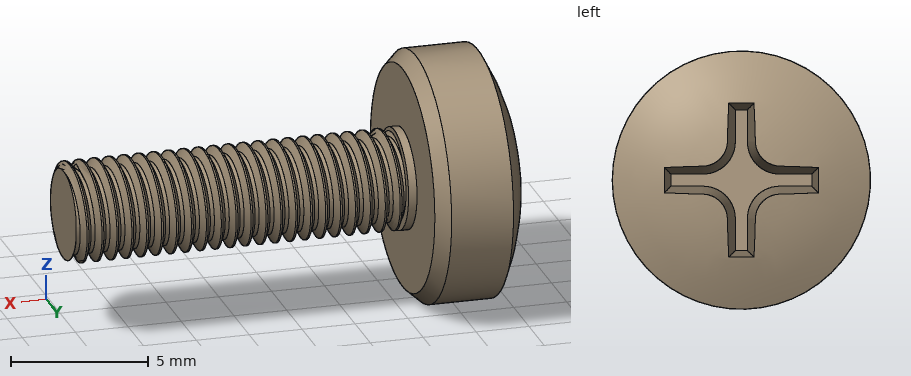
import cadquery as cq
import math

LENGTH = 16.82

HEAD_RADIUS = 4.7
DOME_APEX_X = -0.07
DOME_RIM_X = 1.2
HEAD_CHAMFER_START_X = 3.53
BEARING_FACE_X = 4.04
HEAD_CHAMFER_RADIAL = 0.45

NECK_RADIUS = 1.9
NECK_END_X = 4.35

TWENTY_TURNS_LENGTH = 11.27
PITCH = TWENTY_TURNS_LENGTH / 20
CREST_RADIUS = 1.88
ROOT_RADIUS = 1.56
CREST_FLAT = 0.07
ROOT_FLAT = 0.15
RIDGE_OVERLAP = 0.05
RUNOUT_X = LENGTH + 3 * PITCH
FIRST_CREST_X = 3.94

RECESS_FLOOR_X = 1.88
RECESS_FLOOR_HALF_LENGTH = 2.55
RECESS_FLOOR_HALF_WIDTH = 0.22
RECESS_FLOOR_FILLET = 1.18
RECESS_DRAFT = 9.0
RECESS_CLEARANCE = 0.17


def make_blank():
    """Head, neck and thread core as one revolved body, with the core left overlong."""
    dome_height = DOME_RIM_X - DOME_APEX_X
    dome_radius = (HEAD_RADIUS**2 + dome_height**2) / (2 * dome_height)
    mid_radius = HEAD_RADIUS / 2
    mid_x = DOME_APEX_X + dome_radius - math.sqrt(dome_radius**2 - mid_radius**2)
    return (
        cq.Workplane("XY")
        .moveTo(DOME_APEX_X, 0)
        .threePointArc((mid_x, mid_radius), (DOME_RIM_X, HEAD_RADIUS))
        .lineTo(HEAD_CHAMFER_START_X, HEAD_RADIUS)
        .lineTo(BEARING_FACE_X, HEAD_RADIUS - HEAD_CHAMFER_RADIAL)
        .lineTo(BEARING_FACE_X, NECK_RADIUS)
        .lineTo(NECK_END_X, NECK_RADIUS)
        .lineTo(NECK_END_X, ROOT_RADIUS)
        .lineTo(RUNOUT_X, ROOT_RADIUS)
        .lineTo(RUNOUT_X, 0)
        .close()
        .revolve(360, (0, 0, 0), (1, 0, 0))
    )


def make_thread_ridge():
    """Helical ridge, running past the flat end of the screw."""
    half_crest = CREST_FLAT / 2
    half_root = (PITCH - ROOT_FLAT) / 2
    flank_slope = (half_root - half_crest) / (CREST_RADIUS - ROOT_RADIUS)
    half_base = half_root + flank_slope * RIDGE_OVERLAP
    base_radius = ROOT_RADIUS - RIDGE_OVERLAP
    helix_length = LENGTH + PITCH - FIRST_CREST_X

    helix = cq.Wire.makeHelix(PITCH, helix_length, ROOT_RADIUS)
    return (
        cq.Workplane("XZ")
        .polyline([
            (base_radius, -half_base),
            (CREST_RADIUS, -half_crest),
            (CREST_RADIUS, half_crest),
            (base_radius, half_base),
        ])
        .close()
        .sweep(cq.Workplane(obj=helix), isFrenet=True)
        .rotate((0, 0, 0), (0, 1, 0), 90)
        .translate((FIRST_CREST_X, 0, 0))
    )


def make_end_trim():
    """Block covering everything beyond the flat end of the screw."""
    side = 2 * HEAD_RADIUS
    return cq.Workplane("YZ", origin=(LENGTH, 0, 0)).rect(side, side).extrude(side)


def make_recess_cutter():
    """Cross with filleted inner corners, narrowing from its mouth to the floor."""
    mouth_x = DOME_APEX_X - RECESS_CLEARANCE
    depth = RECESS_FLOOR_X - mouth_x
    widening = depth * math.tan(math.radians(RECESS_DRAFT))
    length = RECESS_FLOOR_HALF_LENGTH + widening
    width = RECESS_FLOOR_HALF_WIDTH + widening
    fillet = RECESS_FLOOR_FILLET - widening
    fillet_center = width + fillet
    arc_mid = fillet_center - fillet / math.sqrt(2)

    outline = cq.Workplane("YZ", origin=(mouth_x, 0, 0)).moveTo(length, -width)
    for quarter in range(4):
        cosine = round(math.cos(quarter * math.pi / 2))
        sine = round(math.sin(quarter * math.pi / 2))

        def turn(u, v):
            return (u * cosine - v * sine, u * sine + v * cosine)

        outline = (
            outline.lineTo(*turn(length, width))
            .lineTo(*turn(fillet_center, width))
            .threePointArc(turn(arc_mid, arc_mid), turn(width, fillet_center))
            .lineTo(*turn(width, length))
        )
    return outline.close().extrude(depth, taper=RECESS_DRAFT)


result = make_blank().cut(make_recess_cutter()).union(make_thread_ridge()).cut(make_end_trim())